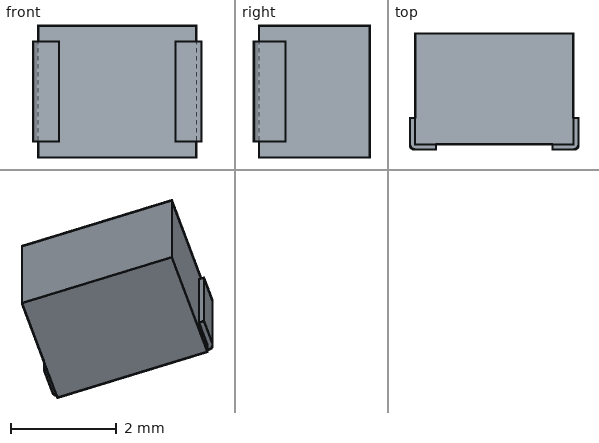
import cadquery as cq

body_length = 3.0
body_depth = 2.1
body_height = 2.5

plate_thickness = 0.1
terminal_height = 1.9
front_leg_overlap = 0.4
side_leg_overlap = 0.5
bend_radius = plate_thickness

front_y = (plate_thickness - body_depth) / 2


def make_body():
    """Plain rectangular block."""
    return cq.Workplane("XY").box(body_length, body_depth, body_height).translate(
        (0, front_y + body_depth / 2, 0)
    )


def make_right_terminal():
    """L-shaped plate with a rounded outer bend, on the +X end."""
    edge_x = body_length / 2
    outer_x = edge_x + plate_thickness
    outer_y = front_y - plate_thickness
    leg_tip_x = edge_x - front_leg_overlap
    leg_tip_y = front_y + side_leg_overlap
    return (
        cq.Workplane("XY")
        .workplane(offset=-terminal_height / 2)
        .moveTo(leg_tip_x, outer_y)
        .lineTo(outer_x - bend_radius, outer_y)
        .radiusArc((outer_x, outer_y + bend_radius), -bend_radius)
        .lineTo(outer_x, leg_tip_y)
        .lineTo(edge_x, leg_tip_y)
        .lineTo(edge_x, front_y)
        .lineTo(leg_tip_x, front_y)
        .close()
        .extrude(terminal_height)
    )


right_terminal = make_right_terminal()
left_terminal = right_terminal.mirror("YZ")
result = make_body().union(right_terminal).union(left_terminal)